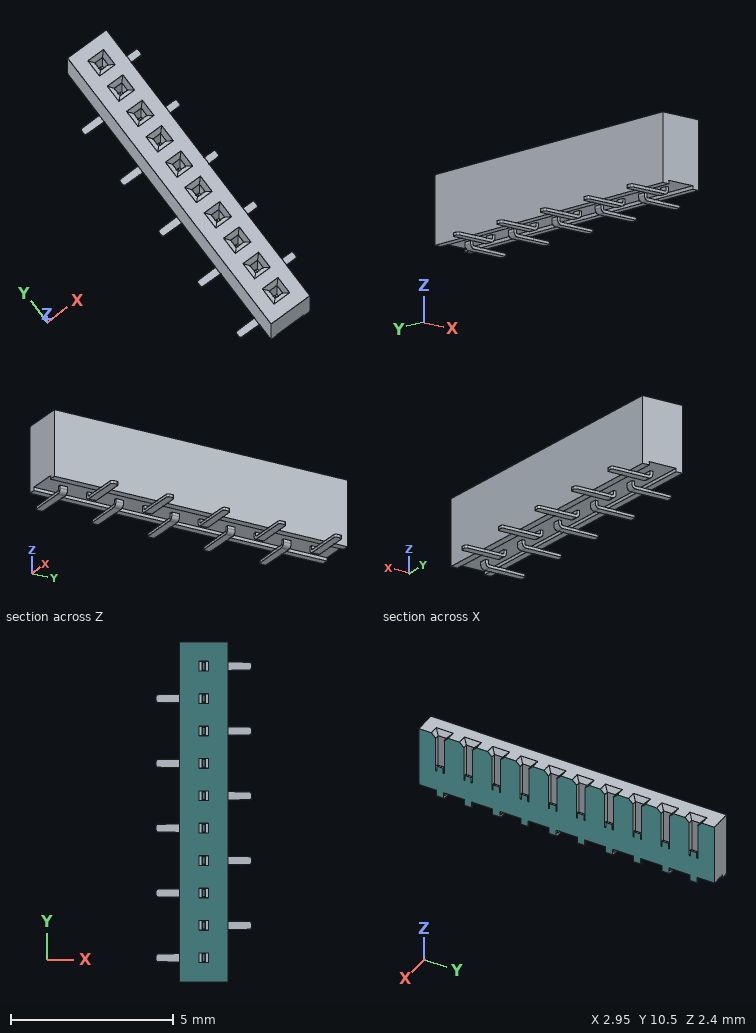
import cadquery as cq


contact_count = 10
pitch = 1.0

housing_width = 1.5
housing_end_margin = 0.75
housing_length = (contact_count - 1) * pitch + 2 * housing_end_margin
overall_height = 2.4
housing_bottom = 0.14
channel_width = 1.0
channel_top = 0.25

mouth_size = 0.6
bore_size = 0.29
mouth_depth = (mouth_size - bore_size) / 2
bore_floor = 1.0

strip_thickness = 0.1
contact_width = 0.27
tail_tip_width = 0.25
blade_width = 0.24
tail_span = 2.95
inner_bend_radius = 0.05
outer_bend_radius = inner_bend_radius + strip_thickness
tail_tip_radius = 0.07
blade_height = 0.2


def make_housing():
    """Rectangular housing with a full-length channel between two bottom rails."""
    housing = cq.Workplane("XY", origin=(0, 0, housing_bottom)).box(
        housing_width,
        housing_length,
        overall_height - housing_bottom,
        centered=(True, True, False),
    )
    channel = cq.Workplane("XY").box(
        channel_width, housing_length, channel_top, centered=(True, True, False)
    )
    return housing.cut(channel)


def make_socket(y):
    """Cavity of one socket: a pyramidal lead-in above a square blind bore."""
    lead_in = (
        cq.Workplane("XY", origin=(0, y, overall_height))
        .rect(mouth_size, mouth_size)
        .workplane(offset=-mouth_depth)
        .rect(bore_size, bore_size)
        .loft(ruled=True)
    )
    bore = cq.Workplane("XY", origin=(0, y, bore_floor)).box(
        bore_size,
        bore_size,
        overall_height - mouth_depth - bore_floor,
        centered=(True, True, False),
    )
    return lead_in.union(bore)


def make_bent_strip():
    """Stem and tail as one bent strip of constant width, tail towards +X."""
    half_thickness = strip_thickness / 2
    tail_tip = tail_span / 2
    bend_center = outer_bend_radius - half_thickness
    return (
        cq.Workplane("XZ", origin=(0, contact_width / 2, 0))
        .moveTo(-half_thickness, bore_floor)
        .lineTo(-half_thickness, outer_bend_radius)
        .radiusArc((bend_center, 0), -outer_bend_radius)
        .lineTo(tail_tip, 0)
        .lineTo(tail_tip, strip_thickness)
        .lineTo(bend_center, strip_thickness)
        .radiusArc((half_thickness, outer_bend_radius), inner_bend_radius)
        .lineTo(half_thickness, bore_floor)
        .close()
        .extrude(contact_width)
    )


def make_tail_envelope():
    """Plan outline of a contact: straight under the housing, then tapering to a rounded tip."""
    taper_start = housing_width / 2
    tail_tip = tail_span / 2
    return (
        cq.Workplane("XY")
        .moveTo(-strip_thickness / 2, -contact_width / 2)
        .lineTo(taper_start, -contact_width / 2)
        .lineTo(tail_tip, -tail_tip_width / 2)
        .lineTo(tail_tip, tail_tip_width / 2)
        .lineTo(taper_start, contact_width / 2)
        .lineTo(-strip_thickness / 2, contact_width / 2)
        .close()
        .extrude(bore_floor)
        .faces(">X")
        .edges("|Z")
        .fillet(tail_tip_radius)
    )


def make_contact(y, side):
    """Contact at y with its blade in the bore and its tail towards side (+1 or -1) in X."""
    blade = cq.Workplane("XY", origin=(0, 0, bore_floor)).box(
        strip_thickness, blade_width, blade_height, centered=(True, True, False)
    )
    contact = make_bent_strip().intersect(make_tail_envelope()).union(blade)
    if side < 0:
        contact = contact.mirror("YZ")
    return contact.translate((0, y, 0))


row_half_length = (contact_count - 1) * pitch / 2
result = make_housing()
for index in range(contact_count):
    contact_y = index * pitch - row_half_length
    tail_side = -1 if index % 2 == 0 else 1
    result = result.cut(make_socket(contact_y))
    result = result.union(make_contact(contact_y, tail_side))